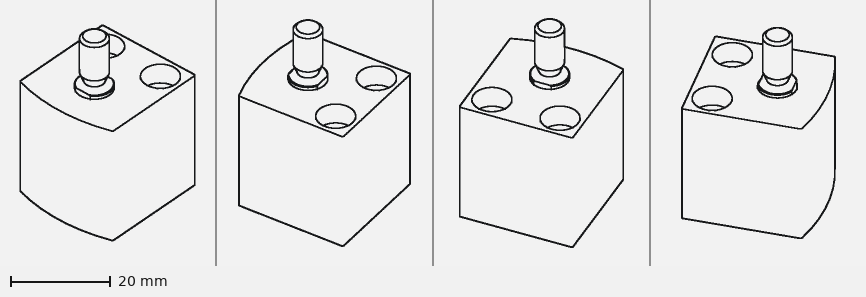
import cadquery as cq
import math

total_height = 40.5
stud_projection = 12.9
housing_height = total_height - stud_projection

housing_width = 25.0
side_depth = 24.95
front_radius = 40.0
corner_radius = 0.4
half_width = housing_width / 2
front_bow = front_radius - math.sqrt(front_radius**2 - half_width**2)

hole_diameter = 4.5
counterbore_diameter = 8.0
counterbore_depth = 4.75
hole_spacing = 15.0
hole_from_back = 5.0

stud_from_back = 16.5
stud_center_y = side_depth - stud_from_back
base_diameter = 8.0
base_depth = 5.0
collar_height = 0.9
collar_chamfer = 0.15
flat_width = 7.0
neck_diameter = 4.37
neck_fillet = 0.53
cone_bottom = 1.75
cone_top = 3.85
pin_diameter = 6.0
tip_chamfer = 0.65


def make_housing():
    """Block with a bowed front, two counterbored holes and a blind socket for the stud."""
    body = (
        cq.Workplane("XY")
        .moveTo(-half_width, side_depth)
        .lineTo(-half_width, 0)
        .threePointArc((0, -front_bow), (half_width, 0))
        .lineTo(half_width, side_depth)
        .close()
        .extrude(housing_height)
        .edges("|Z")
        .fillet(corner_radius)
    )
    hole_y = side_depth - hole_from_back
    hole_centers = [(-hole_spacing / 2, hole_y), (hole_spacing / 2, hole_y)]
    top = cq.Workplane("XY").workplane(offset=housing_height)
    holes = top.pushPoints(hole_centers).circle(hole_diameter / 2).extrude(-housing_height)
    counterbores = top.pushPoints(hole_centers).circle(counterbore_diameter / 2).extrude(-counterbore_depth)
    socket = top.center(0, stud_center_y).circle(base_diameter / 2).extrude(-base_depth)
    return body.cut(holes).cut(counterbores).cut(socket)


def make_flat_cutters():
    """Two blocks that trim the collar and the base to their width across flats."""
    cutter_depth = base_diameter / 2
    cutter_offset = (flat_width + cutter_depth) / 2
    return (
        cq.Workplane("XY")
        .workplane(offset=-base_depth)
        .pushPoints([(0, -cutter_offset), (0, cutter_offset)])
        .rect(base_diameter, cutter_depth)
        .extrude(base_depth + collar_height)
    )


def make_stud():
    """Turned stud with a flatted base and collar, a necked cone and a chamfered pin."""
    base_radius = base_diameter / 2
    neck_radius = neck_diameter / 2
    pin_radius = pin_diameter / 2
    arc_inset = neck_fillet * (1 - math.sqrt(0.5))
    turned = (
        cq.Workplane("XZ")
        .moveTo(0, -base_depth)
        .lineTo(base_radius, -base_depth)
        .lineTo(base_radius, collar_height - collar_chamfer)
        .lineTo(base_radius - collar_chamfer, collar_height)
        .lineTo(neck_radius + neck_fillet, collar_height)
        .threePointArc(
            (neck_radius + arc_inset, collar_height + arc_inset),
            (neck_radius, collar_height + neck_fillet),
        )
        .lineTo(neck_radius, cone_bottom)
        .lineTo(pin_radius, cone_top)
        .lineTo(pin_radius, stud_projection - tip_chamfer)
        .lineTo(pin_radius - tip_chamfer, stud_projection)
        .lineTo(0, stud_projection)
        .close()
        .revolve(360, (0, 0, 0), (0, 1, 0))
    )
    return turned.cut(make_flat_cutters()).translate((0, stud_center_y, housing_height))


housing = make_housing()
stud = make_stud()
result = cq.Compound.makeCompound([housing.val(), stud.val()])